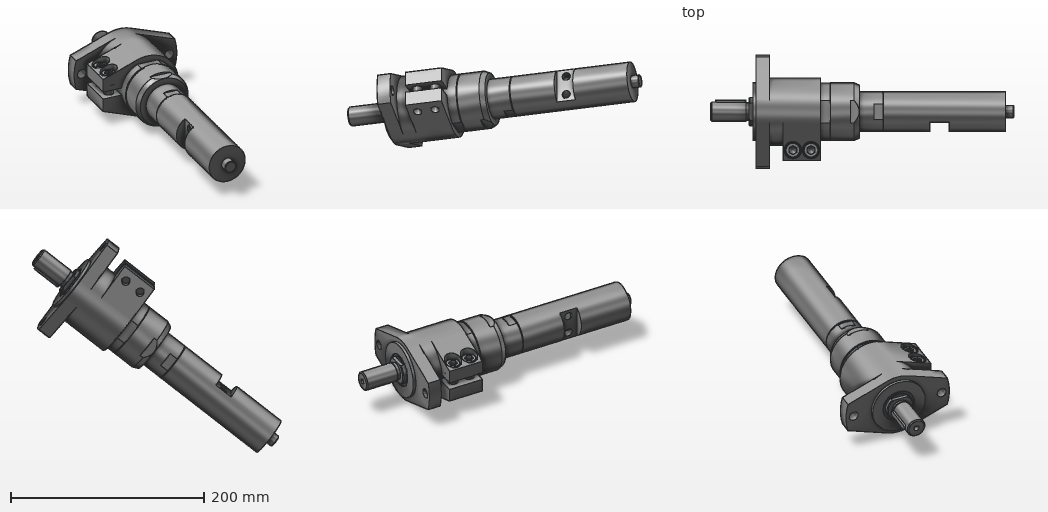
import cadquery as cq
import math


SHAFT_END = 36.5
COLLAR_START = 39.8
PILOT_START = 43.5
FLANGE_START = 46.7
FLANGE_END = 60.8
CLAMP_START = 75.0
CLAMP_END = 113.8
SLEEVE_RING_START = 124.0
SLEEVE_RING_END = 144.5
SLEEVE_TAPER_START = 148.3
SLEEVE_END = 154.0
TUBE_FLATS_START = 168.7
TUBE_FLATS_END = 178.7
TUBE_END = 305.0
TOTAL_LENGTH = 313.5

SHAFT_DIA = 20.0
SHAFT_NECK_DIA = 18.8
SHAFT_CHAMFER = 1.3
CENTER_HOLE_DIA = 5.5
CENTER_TIP_DIA = 1.55
CENTER_HOLE_DEPTH = 3.8
KEY_START = 5.0
KEY_WIDTH = 6.0
KEY_TOP = 12.0
COLLAR_DIA = 29.8
COLLAR_CHAMFER = 1.0
COLLAR_ACROSS_FLATS = 23.8
PILOT_DIA = 60.0
PILOT_RECESS_DIA = 35.5
PILOT_RECESS_DEPTH = 1.3

BODY_DIA = 70.0
FLANGE_WIDTH = 118.0
FLANGE_SLOPE = 20.0
FLANGE_HOLE_DIA = 10.0
FLANGE_HOLE_SPACING = 100.0

EAR_REACH = 50.8
SLIT_WIDTH = 8.0
SCREW_Y = -39.8
SCREW_PITCH = 18.8
SCREW_DIA = 10.5
HEAD_DIA = 16.0
HEAD_CHAMFER = 1.0
HEAD_SEAT_Z = 9.5
HEAD_HEIGHT = 10.0
COUNTERBORE_DIA = 18.0
SOCKET_ACROSS_FLATS = 8.0
SOCKET_DEPTH = 6.3
SOCKET_TIP_DEPTH = 2.2
THREAD_HOLE_DIA = 8.5
THREAD_HOLE_TOP_Z = -12.5

SLEEVE_DIA = 60.0
SLEEVE_GROOVE_DIA = 58.0
SLEEVE_GROOVE_WIDTH = 0.5
SLEEVE_END_DIA = 55.0
SLEEVE_ACROSS_FLATS = 55.2
TUBE_DIA = 41.5
TUBE_ACROSS_FLATS = 38.2
TUBE_GROOVE_DIA = 38.2
TUBE_GROOVE_WIDTH = 0.5
REAR_PIN_DIA = 13.0
REAR_PIN_CHAMFER = 0.5

PORT_FACE_START = 226.7
PORT_FACE_LENGTH = 20.0
PORT_FACE_Y = -11.0
PORT_DIA = 8.5
PORT_SPACING = 20.5
PORT_CORE_DIA = 24.8


def rod(start, end, diameter):
    """Cylinder on the X axis from start to end."""
    return cq.Workplane("YZ", origin=(start, 0, 0)).circle(diameter / 2).extrude(end - start)


def span_box(x_range, y_range, z_range):
    """Box given by its lower and upper limit on each axis."""
    sizes = [high - low for low, high in (x_range, y_range, z_range)]
    corner = (x_range[0], y_range[0], z_range[0])
    return cq.Workplane("XY").box(*sizes, centered=False).translate(corner)


def upright(x, y, bottom, top, diameter):
    """Vertical cylinder between two heights."""
    return cq.Workplane("XY", origin=(x, y, bottom)).circle(diameter / 2).extrude(top - bottom)


def flats(start, end, across, width):
    """Material outside a pair of horizontal flats."""
    slab = span_box((start, end), (-width, width), (-width, width))
    return slab.cut(span_box((start, end), (-width, width), (-across / 2, across / 2)))


def tangent_height(y):
    """Height of the sloped sides, tangent to the body, at distance y from the axis."""
    slope = math.radians(FLANGE_SLOPE)
    return (BODY_DIA / 2 - y * math.sin(slope)) / math.cos(slope)


def tangent_point():
    """Distance from the axis and height where the sloped side leaves the body circle."""
    slope = math.radians(FLANGE_SLOPE)
    return BODY_DIA / 2 * math.sin(slope), BODY_DIA / 2 * math.cos(slope)


def make_shaft():
    shaft = rod(0, SHAFT_END, SHAFT_DIA).faces("<X").chamfer(SHAFT_CHAMFER)
    shaft = shaft.union(rod(SHAFT_END, COLLAR_START, SHAFT_NECK_DIA))
    key_length = SHAFT_END - KEY_START
    key = (
        cq.Workplane("XZ", origin=(KEY_START + key_length / 2, 0, 0))
        .slot2D(key_length, KEY_WIDTH).extrude(-KEY_TOP)
    )
    center_hole = (
        cq.Workplane("YZ").circle(CENTER_HOLE_DIA / 2)
        .workplane(offset=CENTER_HOLE_DEPTH).circle(CENTER_TIP_DIA / 2).loft()
    )
    return shaft.union(key).cut(center_hole)


def make_collar_and_pilot():
    recess_floor = PILOT_START + PILOT_RECESS_DEPTH
    pilot = rod(PILOT_START, FLANGE_START, PILOT_DIA)
    pilot = pilot.cut(rod(PILOT_START, recess_floor, PILOT_RECESS_DIA))
    collar = rod(COLLAR_START, recess_floor, COLLAR_DIA).faces("<X").chamfer(COLLAR_CHAMFER)
    collar = collar.cut(flats(COLLAR_START, PILOT_START, COLLAR_ACROSS_FLATS, COLLAR_DIA))
    return pilot.union(collar)


def make_flange():
    tangent_y, tangent_z = tangent_point()
    half_width = FLANGE_WIDTH / 2
    outline = [
        (-half_width, tangent_height(half_width)),
        (-tangent_y, tangent_z),
        (tangent_y, tangent_z),
        (half_width, tangent_height(half_width)),
        (half_width, -tangent_height(half_width)),
        (tangent_y, -tangent_z),
        (-tangent_y, -tangent_z),
        (-half_width, -tangent_height(half_width)),
    ]
    thickness = FLANGE_END - FLANGE_START
    plane = cq.Workplane("YZ", origin=(FLANGE_START, 0, 0))
    flange = plane.polyline(outline).close().extrude(thickness)
    flange = flange.union(rod(FLANGE_START, FLANGE_END, BODY_DIA))
    flange = flange.intersect(rod(FLANGE_START, FLANGE_END, FLANGE_WIDTH))
    half_spacing = FLANGE_HOLE_SPACING / 2
    holes = (
        plane.pushPoints([(-half_spacing, 0), (half_spacing, 0)])
        .circle(FLANGE_HOLE_DIA / 2).extrude(thickness)
    )
    return flange.cut(holes)


def make_screw(x):
    """Socket head screw with its shank crossing the slit."""
    head_top = HEAD_SEAT_Z + HEAD_HEIGHT
    socket_floor = head_top - SOCKET_DEPTH
    socket_corners = SOCKET_ACROSS_FLATS / math.cos(math.radians(30))
    head = upright(x, SCREW_Y, HEAD_SEAT_Z, head_top, HEAD_DIA).faces(">Z").chamfer(HEAD_CHAMFER)
    socket = (
        cq.Workplane("XY", origin=(x, SCREW_Y, socket_floor))
        .transformed(rotate=(0, 0, 90)).polygon(6, socket_corners).extrude(SOCKET_DEPTH)
    )
    tip = cq.Solid.makeCone(
        SOCKET_ACROSS_FLATS / 2, 0, SOCKET_TIP_DEPTH,
        pnt=cq.Vector(x, SCREW_Y, socket_floor), dir=cq.Vector(0, 0, -1),
    )
    shank = upright(x, SCREW_Y, -SLIT_WIDTH / 2, SLIT_WIDTH / 2, SCREW_DIA)
    return head.cut(socket).cut(cq.Workplane(tip)).union(shank)


def make_clamp():
    tangent_y, tangent_z = tangent_point()
    ear_z = tangent_height(EAR_REACH)
    length = CLAMP_END - CLAMP_START
    ears = (
        cq.Workplane("YZ", origin=(CLAMP_START, 0, 0))
        .polyline([(-tangent_y, tangent_z), (-EAR_REACH, ear_z),
                   (-EAR_REACH, -ear_z), (-tangent_y, -tangent_z)])
        .close().extrude(length)
    )
    clamp = rod(FLANGE_END, CLAMP_END, BODY_DIA).union(ears)
    slit = span_box((CLAMP_START, CLAMP_END), (-EAR_REACH, 0), (-SLIT_WIDTH / 2, SLIT_WIDTH / 2))
    clamp = clamp.cut(slit.cut(rod(CLAMP_START, CLAMP_END, SLEEVE_DIA)))

    middle = (CLAMP_START + CLAMP_END) / 2
    for x in (middle - SCREW_PITCH / 2, middle + SCREW_PITCH / 2):
        clamp = clamp.cut(upright(x, SCREW_Y, HEAD_SEAT_Z, BODY_DIA / 2, COUNTERBORE_DIA))
        clamp = clamp.cut(upright(x, SCREW_Y, -BODY_DIA / 2, THREAD_HOLE_TOP_Z, THREAD_HOLE_DIA))
        clamp = clamp.union(make_screw(x))
    return clamp


def make_sleeve():
    groove_start = SLEEVE_RING_START - SLEEVE_GROOVE_WIDTH
    outline = [
        (CLAMP_END, 0),
        (CLAMP_END, SLEEVE_DIA / 2),
        (groove_start, SLEEVE_DIA / 2),
        (groove_start, SLEEVE_GROOVE_DIA / 2),
        (SLEEVE_RING_START, SLEEVE_GROOVE_DIA / 2),
        (SLEEVE_RING_START, SLEEVE_DIA / 2),
        (SLEEVE_TAPER_START, SLEEVE_DIA / 2),
        (SLEEVE_END, SLEEVE_END_DIA / 2),
        (SLEEVE_END, 0),
    ]
    sleeve = cq.Workplane("XY").polyline(outline).close().revolve(360, (0, 0, 0), (1, 0, 0))
    for start, end in ((CLAMP_END, SLEEVE_RING_START), (SLEEVE_RING_END, SLEEVE_END)):
        sleeve = sleeve.cut(flats(start, end, SLEEVE_ACROSS_FLATS, SLEEVE_DIA))
    return sleeve


def make_ports():
    """Flat recess in the tube with two ports that stop at a round core."""
    face_end = PORT_FACE_START + PORT_FACE_LENGTH
    recess = span_box((PORT_FACE_START, face_end), (-TUBE_DIA, PORT_FACE_Y), (-TUBE_DIA, TUBE_DIA))
    half_spacing = PORT_SPACING / 2
    ports = (
        cq.Workplane("XZ", origin=(PORT_FACE_START + PORT_FACE_LENGTH / 2, 0, 0))
        .pushPoints([(0, -half_spacing), (0, half_spacing)])
        .circle(PORT_DIA / 2).extrude(-PORT_FACE_Y)
    )
    core = rod(PORT_FACE_START, face_end, PORT_CORE_DIA)
    return recess.union(ports.cut(core))


def make_tube():
    tube = rod(SLEEVE_END, TUBE_END, TUBE_DIA)
    tube = tube.cut(flats(TUBE_FLATS_START, TUBE_FLATS_END, TUBE_ACROSS_FLATS, TUBE_DIA))
    groove_start = TUBE_FLATS_END - TUBE_GROOVE_WIDTH
    groove = rod(groove_start, TUBE_FLATS_END, BODY_DIA)
    tube = tube.cut(groove.cut(rod(groove_start, TUBE_FLATS_END, TUBE_GROOVE_DIA)))
    rear_pin = rod(TUBE_END, TOTAL_LENGTH, REAR_PIN_DIA).faces(">X").chamfer(REAR_PIN_CHAMFER)
    return tube.cut(make_ports()).union(rear_pin)


result = (
    make_shaft()
    .union(make_collar_and_pilot())
    .union(make_flange())
    .union(make_clamp())
    .union(make_sleeve())
    .union(make_tube())
)